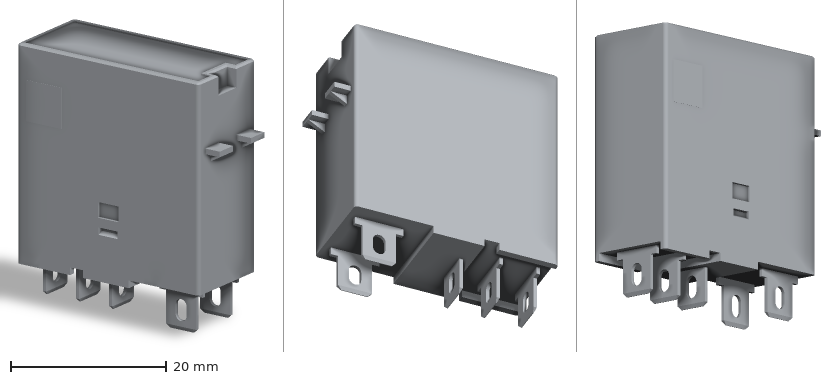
import cadquery as cq

body_length = 28.75
body_width = 12.55
half_width = body_width / 2
total_height = 34.9
skirt_bottom = 5.05
floor_level = 6.1
corner_radius = 0.52
top_chamfer = 0.25

skirt_thickness = 0.95
gap_start = 8.38
gap_end = 10.47
skirt_end = 17.65
nub_length = 0.28
nub_width = 0.9
nub_drop = 0.15

panel_end_rim = 0.63
panel_side_rim = 0.77
panel_depth = 0.25
panel_corner_radius = 0.17
notch_length = 1.45
notch_width = 3.98
notch_depth = 2.8
notch_rim = 0.75

plate_size = 5.6
plate_left = 1.43
plate_bottom = 24.6
plate_thickness = 0.05
window_left = 12.77
window_length = 3.28
window_bottom = 13.68
window_height = 2.13
window_depth = 0.45
slit_length = 3.0
slit_bottom = 11.38
slit_height = 1.0
slit_ramp_rise = 0.4
slit_depth = 0.7

hook_reach = 2.35
hook_top = 25.75
hook_tip_height = 0.77
hook_gusset_drop = 1.33
hook_gusset_width = 0.63
hook_width = 2.95
hook_inner_offset = notch_width / 2

blade_width = 4.78
blade_thickness = 0.5
shoulder_width = 6.85
tip_height = 0.52
tip_corner = 0.52
tip_thickness = 0.1
eye_width = 1.75
eye_height = 2.95
eye_level = 2.75
contact_start = 1.57
contact_pitch = 5.25
contact_count = 3
coil_position = 24.33
coil_offset = 3.77


def box(x0, x1, y0, y1, z0, z1):
    """Box between two opposite corners."""
    return cq.Workplane("XY").box(x1 - x0, y1 - y0, z1 - z0, centered=False).translate((x0, y0, z0))


def make_housing():
    block = box(0, body_length, -half_width, half_width, skirt_bottom, total_height)
    block = block.edges("|Z").fillet(corner_radius)
    notch = box(
        body_length - notch_length, body_length,
        -notch_width / 2, notch_width / 2,
        total_height - notch_depth, total_height,
    )
    return block.cut(notch).faces(">Z").edges().chamfer(top_chamfer)


def cut_underside(body):
    inner = half_width - skirt_thickness
    body = body.cut(box(0, gap_start, -inner, inner, skirt_bottom, floor_level))
    body = body.cut(box(gap_start, gap_end, -half_width, half_width, skirt_bottom, floor_level))
    body = body.cut(box(skirt_end, body_length, -half_width, half_width, skirt_bottom, floor_level))
    nub = box(gap_end - nub_length, gap_end, -nub_width / 2, nub_width / 2, floor_level - nub_drop, floor_level)
    return body.union(nub)


def cut_top_panel(body):
    panel = box(
        panel_end_rim, body_length - panel_end_rim,
        panel_side_rim - half_width, half_width - panel_side_rim,
        total_height - panel_depth, total_height,
    )
    panel = panel.edges("|Z").fillet(panel_corner_radius)
    rim_half = notch_width / 2 + notch_rim
    rim_start = body_length - notch_length - notch_rim
    rim = box(rim_start, body_length, -rim_half, rim_half, total_height - panel_depth, total_height)
    return body.cut(panel.cut(rim))


def add_side_details(body):
    plate = box(
        plate_left, plate_left + plate_size,
        -half_width - plate_thickness, -half_width,
        plate_bottom, plate_bottom + plate_size,
    )
    window = box(
        window_left, window_left + window_length,
        -half_width, window_depth - half_width,
        window_bottom, window_bottom + window_height,
    )
    slit_left = window_left + (window_length - slit_length) / 2
    slit = (
        cq.Workplane("YZ", origin=(slit_left, -half_width, slit_bottom))
        .polyline([(0, 0), (slit_depth, slit_ramp_rise), (slit_depth, slit_height), (0, slit_height)])
        .close()
        .extrude(slit_length)
    )
    return body.union(plate).cut(window).cut(slit)


def make_hook(y_start):
    """Flat bar with a narrow triangular gusset along the middle of its underside."""
    bar_bottom = hook_top - hook_tip_height
    bar = box(
        body_length, body_length + hook_reach,
        y_start, y_start + hook_width,
        bar_bottom, hook_top,
    )
    gusset_start = y_start + (hook_width - hook_gusset_width) / 2
    gusset = (
        cq.Workplane("XZ", origin=(body_length, gusset_start, bar_bottom))
        .polyline([(0, 0), (hook_reach, 0), (0, -hook_gusset_drop)])
        .close()
        .extrude(-hook_gusset_width)
    )
    return bar.union(gusset)


def make_blade():
    """Blade centred on the Z axis, facing Y, with its tip at Z = 0."""
    half_blade = blade_width / 2
    half_shoulder = shoulder_width / 2
    half_tip = half_blade - tip_corner
    face = (
        cq.Workplane("XZ")
        .polyline([
            (-half_tip, 0), (half_tip, 0),
            (half_blade, tip_height), (half_blade, skirt_bottom),
            (half_shoulder, skirt_bottom), (half_shoulder, floor_level),
            (-half_shoulder, floor_level), (-half_shoulder, skirt_bottom),
            (-half_blade, skirt_bottom), (-half_blade, tip_height),
        ])
        .close()
        .extrude(blade_thickness / 2, both=True)
    )
    edge_profile = (
        cq.Workplane("YZ")
        .polyline([
            (-tip_thickness / 2, 0), (tip_thickness / 2, 0),
            (blade_thickness / 2, tip_height), (blade_thickness / 2, floor_level),
            (-blade_thickness / 2, floor_level), (-blade_thickness / 2, tip_height),
        ])
        .close()
        .extrude(shoulder_width, both=True)
    )
    eye = (
        cq.Workplane("XZ", origin=(0, 0, eye_level))
        .slot2D(eye_height, eye_width, 90)
        .extrude(blade_thickness, both=True)
    )
    return face.intersect(edge_profile).cut(eye)


result = make_housing()
result = cut_underside(result)
result = cut_top_panel(result)
result = add_side_details(result)

for y_start in (hook_inner_offset, -hook_inner_offset - hook_width):
    result = result.union(make_hook(y_start))

blade = make_blade()
contact_blade = blade.rotate((0, 0, 0), (0, 0, 1), 90)
for index in range(contact_count):
    result = result.union(contact_blade.translate((contact_start + index * contact_pitch, 0, 0)))
for offset in (-coil_offset, coil_offset):
    result = result.union(blade.translate((coil_position, offset, 0)))